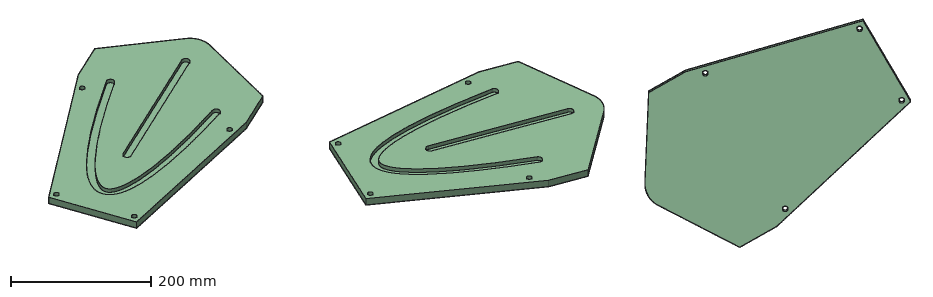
import cadquery as cq
import math

thickness = 12.0
length = 393.0
width = 260.0
base_width = 136.0
side_bottom_y = 256.3
side_top_y = 317.0
nose_radius = 35.0

hole_diameter = 8.0
upper_hole_x = 114.0
upper_hole_y = 233.0
lower_hole_x = 60.0
lower_hole_y = 10.2

groove_width = 12.0
groove_depth = 6.5
straight_bottom_y = 121.0
straight_top_y = 348.5

curve_bottom_y = 43.0
curve_end_x = 81.8
curve_end_y = 260.0
ellipse_x_radius = 114.8
curve_steps = 24


def make_plate():
    """Extrude the outline, whose nose arc is tangent to both sloping edges."""
    half_width = width / 2
    nose_center_y = length - nose_radius

    rise = nose_center_y - side_top_y
    slope = math.atan2(rise, half_width) + math.asin(nose_radius / math.hypot(half_width, rise))
    tangent_x = nose_radius * math.sin(slope)
    tangent_y = nose_center_y + nose_radius * math.cos(slope)

    return (
        cq.Workplane("XY")
        .moveTo(-base_width / 2, 0)
        .lineTo(base_width / 2, 0)
        .lineTo(half_width, side_bottom_y)
        .lineTo(half_width, side_top_y)
        .lineTo(tangent_x, tangent_y)
        .threePointArc((0, length), (-tangent_x, tangent_y))
        .lineTo(-half_width, side_top_y)
        .lineTo(-half_width, side_bottom_y)
        .close()
        .extrude(thickness)
    )


def make_holes():
    centers = [
        (side * x, y)
        for x, y in ((upper_hole_x, upper_hole_y), (lower_hole_x, lower_hole_y))
        for side in (-1, 1)
    ]
    return cq.Workplane("XY").pushPoints(centers).circle(hole_diameter / 2).extrude(thickness)


def groove_floor():
    return cq.Workplane("XY").workplane(offset=thickness - groove_depth)


def make_straight_groove():
    return (
        groove_floor()
        .center(0, (straight_bottom_y + straight_top_y) / 2)
        .slot2D(straight_top_y - straight_bottom_y, groove_width, 90)
        .extrude(groove_depth)
    )


def make_curved_groove():
    """Widen the elliptical centreline evenly to both sides and round its ends."""
    end_angle = math.asin(curve_end_x / ellipse_x_radius)
    ellipse_y_radius = (curve_end_y - curve_bottom_y) / (1 - math.cos(end_angle))

    def point_beside(angle, offset):
        """Point of the centreline moved out along its normal by the offset."""
        normal_x = ellipse_y_radius * math.sin(angle)
        normal_y = -ellipse_x_radius * math.cos(angle)
        shift = offset / math.hypot(normal_x, normal_y)
        x = ellipse_x_radius * math.sin(angle) + shift * normal_x
        y = curve_bottom_y + ellipse_y_radius * (1 - math.cos(angle)) + shift * normal_y
        return (x, y)

    def edge_points(offset):
        angles = [end_angle * (2 * i / curve_steps - 1) for i in range(curve_steps + 1)]
        return [point_beside(angle, offset) for angle in angles]

    half_width = groove_width / 2
    outer_edge = edge_points(half_width)
    inner_edge = edge_points(-half_width)

    end_slope = math.atan2(ellipse_y_radius * math.sin(end_angle), ellipse_x_radius * math.cos(end_angle))
    tip_x = curve_end_x + half_width * math.cos(end_slope)
    tip_y = curve_end_y + half_width * math.sin(end_slope)

    return (
        groove_floor()
        .spline(outer_edge)
        .threePointArc((tip_x, tip_y), inner_edge[-1])
        .spline(inner_edge[-2::-1], includeCurrent=True)
        .threePointArc((-tip_x, tip_y), outer_edge[0])
        .close()
        .extrude(groove_depth)
    )


result = make_plate().cut(make_holes()).cut(make_straight_groove()).cut(make_curved_groove())